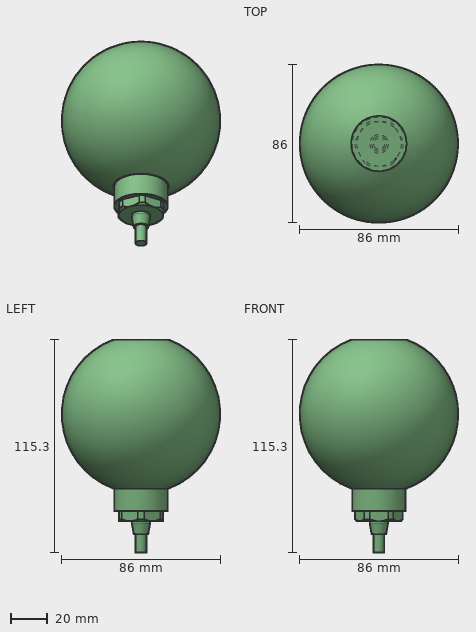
import cadquery as cq
import math

ball_radius = 43.0
flat_radius = 15.0
flat_height = math.sqrt(ball_radius**2 - flat_radius**2)

neck_radius = 14.5
neck_length = 12.0
neck_bottom = -flat_height - neck_length

disc_thickness = 0.3
disc_bottom = neck_bottom - disc_thickness

nut_across_flats = 24.0
nut_corner_radius = 13.0
nut_bottom = -58.0
nut_chamfer_width = nut_corner_radius - nut_across_flats / 2
nut_chamfer_height = 1.2

sleeve_radius = 5.0
sleeve_tip_radius = 4.0
sleeve_collar_length = 1.2
sleeve_collar_bottom = nut_bottom - sleeve_collar_length
sleeve_taper_length = 5.8
sleeve_bottom = sleeve_collar_bottom - sleeve_taper_length
cable_radius = 3.0
cable_length = 10.0
cable_bottom = sleeve_bottom - cable_length


def turn(profile):
    """Revolve a closed profile, drawn as radius and height, a full turn about the Z axis."""
    return profile.revolve(360, (0, 0, 0), (0, 1, 0))


def make_housing():
    """Ball cut flat at both ends, with the neck on its lower flat."""
    profile = (
        cq.Workplane("XZ")
        .moveTo(0, flat_height)
        .lineTo(flat_radius, flat_height)
        .threePointArc((ball_radius, 0), (flat_radius, -flat_height))
        .lineTo(neck_radius, -flat_height)
        .lineTo(neck_radius, neck_bottom)
        .lineTo(0, neck_bottom)
        .close()
    )
    return turn(profile)


def make_nut():
    """Hexagon with flats facing +Y and -Y, trimmed by a turned blank chamfered at the bottom."""
    across_corners = nut_across_flats / math.cos(math.radians(30))
    hexagon = (
        cq.Workplane("XY", origin=(0, 0, nut_bottom))
        .polygon(6, across_corners)
        .extrude(disc_bottom - nut_bottom)
    )
    blank_profile = (
        cq.Workplane("XZ")
        .moveTo(0, disc_bottom)
        .lineTo(nut_corner_radius, disc_bottom)
        .lineTo(nut_corner_radius, nut_bottom + nut_chamfer_height)
        .lineTo(nut_corner_radius - nut_chamfer_width, nut_bottom)
        .lineTo(0, nut_bottom)
        .close()
    )
    return hexagon.intersect(turn(blank_profile))


def make_disc():
    """Thin disc between the neck and the nut."""
    return (
        cq.Workplane("XY", origin=(0, 0, disc_bottom))
        .circle(neck_radius)
        .extrude(disc_thickness)
    )


def make_sleeve_and_cable():
    """Short collar, taper and cable below the nut."""
    profile = (
        cq.Workplane("XZ")
        .moveTo(0, nut_bottom)
        .lineTo(sleeve_radius, nut_bottom)
        .lineTo(sleeve_radius, sleeve_collar_bottom)
        .lineTo(sleeve_tip_radius, sleeve_bottom)
        .lineTo(cable_radius, sleeve_bottom)
        .lineTo(cable_radius, cable_bottom)
        .lineTo(0, cable_bottom)
        .close()
    )
    return turn(profile)


def make_cable_gland():
    """Disc, nut, sleeve and cable as one body."""
    return make_disc().union(make_nut()).union(make_sleeve_and_cable())


housing = make_housing()
cable_gland = make_cable_gland()

result = cq.Compound.makeCompound([housing.val(), cable_gland.val()])